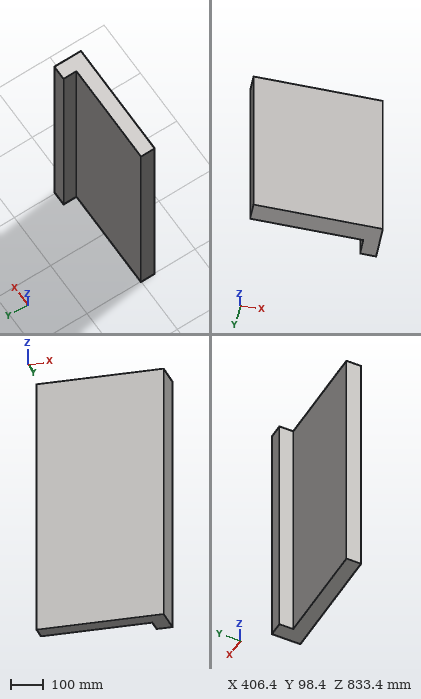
import cadquery as cq

width = 406.4
depth = 98.425
height = 833.44

panel_thickness = 50.8
return_thickness = 50.8

return_inner_x = width - return_thickness
plan_outline = [
    (0, 0),
    (width, 0),
    (width, depth),
    (return_inner_x, depth),
    (return_inner_x, panel_thickness),
    (0, panel_thickness),
]

result = cq.Workplane("XY").polyline(plan_outline).close().extrude(height)